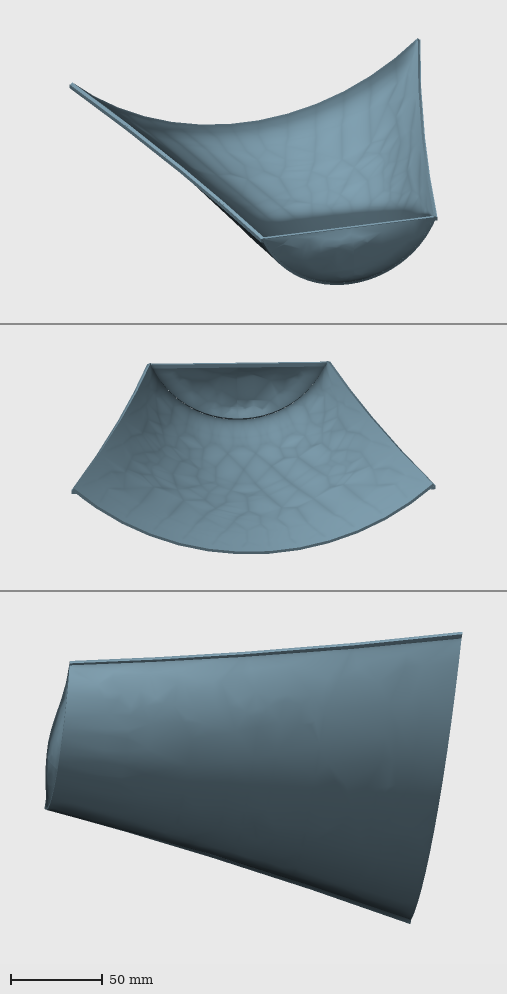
import cadquery as cq
import math

SKIN_THICKNESS = 1.5
WALL_THICKNESS = 1.5

RAIL_WIDTH = 0.5
RAIL_HEIGHT = 2.2

END_RAIL_WIDTH = 1.7

WIDE_FRONT = cq.Vector(0.0, 0.0)
WIDE_BACK = cq.Vector(45.7, 194.6)
NARROW_FRONT = cq.Vector(215.3, 0.0)
NARROW_BACK = cq.Vector(238.72, 97.6)

RIM_BOW = 2.7

SECTION_DEPTHS = [(0.0, 38.6), (0.36, 39.0), (0.72, 38.9), (1.0, 34.6)]

WALL_TOP_DROP = 0.3
WALL_BULGES = [
    (0.0, -6.2, 4.1),
    (0.0, -17.0, 5.4),
    (0.0, -28.0, 4.3),
    (-25.0, -10.0, 3.0),
    (25.0, -10.0, 3.0),
]

UP = cq.Vector(0, 0, 1)


class Section:
    """An upright arc section of the trough, cut radially at both lips."""

    def __init__(self, share, depth):
        front = WIDE_FRONT + (NARROW_FRONT - WIDE_FRONT) * share
        back = WIDE_BACK + (NARROW_BACK - WIDE_BACK) * share
        bow = RIM_BOW * 4 * share * (1 - share)
        self.along = (back - front).normalized()
        self.outward = self.along.cross(UP)
        self.middle = (front + back) / 2
        self.half_rim = (back - front).Length / 2 - bow
        self.half_chord = self.half_rim - RAIL_WIDTH
        self.outer_radius = (self.half_chord**2 + depth**2) / (2 * depth)
        self.inner_radius = self.outer_radius - SKIN_THICKNESS
        self.center_height = self.outer_radius - depth
        self.lip_angle = math.asin(self.half_chord / self.outer_radius)

    def place(self, sideways, height):
        """A point of the section plane, measured from the middle of the rim."""
        return self.middle + self.along * sideways + UP * height

    def arc_point(self, radius, angle):
        """A point at an angle from straight down, positive toward the back."""
        return self.place(radius * math.sin(angle), self.center_height - radius * math.cos(angle))

    def arc(self, radius, half_angle):
        angles = (-half_angle, 0, half_angle)
        return cq.Edge.makeThreePointArc(*[self.arc_point(radius, angle) for angle in angles])

    def half_angle_below_rim(self, radius, drop):
        """The angle at which an arc of this radius reaches a given drop below the rim."""
        return math.acos((self.center_height + drop) / radius)

    def skin_foot(self, side):
        """The point within the skin thickness, level with the rail undersides."""
        radius = (self.outer_radius + self.inner_radius) / 2
        return self.arc_point(radius, side * self.half_angle_below_rim(radius, RAIL_HEIGHT))

    def skin_lip(self, side):
        """The outer edge of the lip."""
        return self.place(side * self.half_chord, 0)

    def skin_wire(self):
        outer = self.arc(self.outer_radius, self.lip_angle)
        inner = self.arc(self.inner_radius, self.lip_angle)
        back_lip = cq.Edge.makeLine(outer.endPoint(), inner.endPoint())
        front_lip = cq.Edge.makeLine(inner.startPoint(), outer.startPoint())
        return cq.Wire.assembleEdges([outer, back_lip, inner, front_lip])

    def rail_wire(self, side):
        """The wedge beside one lip; its slanting side runs within the skin."""
        corners = [
            self.skin_lip(side),
            self.place(side * self.half_rim, 0),
            self.place(side * self.half_rim, -RAIL_HEIGHT),
            self.skin_foot(side),
        ]
        return cq.Wire.makePolygon(corners, close=True)


sections = [Section(share, depth) for share, depth in SECTION_DEPTHS]
narrow = sections[-1]


def make_skin():
    return cq.Solid.makeLoft([section.skin_wire() for section in sections])


def make_side_rail(side):
    wedge = cq.Solid.makeLoft([section.rail_wire(side) for section in sections])
    return wedge.cut(skin).Solids()[0]


def make_end_rail():
    """The bar just inside the end of the skin, its ends fitted against the inner surface."""
    corners = [narrow.skin_lip(-1), narrow.skin_lip(1), narrow.skin_foot(1), narrow.skin_foot(-1)]
    outline = cq.Wire.makePolygon(corners, close=True)
    bar = cq.Solid.extrudeLinear(outline, [], narrow.outward * -END_RAIL_WIDTH)
    return bar.cut(skin).Solids()[0]


def make_end_wall_halves():
    """A bulged plate closing the narrow end, fitted around the end rail and split at mid width.

    Its outer face springs from the inner edge of the skin and it thickens inward.
    """
    half_angle = narrow.half_angle_below_rim(narrow.inner_radius, WALL_TOP_DROP)
    arc = narrow.arc(narrow.inner_radius, half_angle)
    top = cq.Edge.makeLine(arc.endPoint(), arc.startPoint())
    peaks = [
        narrow.place(sideways, height) + narrow.outward * bulge
        for sideways, height, bulge in WALL_BULGES
    ]
    outer_face = cq.Face.makeNSidedSurface([arc, top], peaks)
    plate = outer_face.thicken(-WALL_THICKNESS).cut(skin, end_rail)
    size = 2 * narrow.half_rim
    back_block = cq.Solid.makeBox(size, size, size, narrow.middle - cq.Vector(size / 2, 0, size / 2))
    front_half = plate.cut(back_block).Solids()[0]
    back_half = plate.intersect(back_block).Solids()[0]
    return front_half, back_half


skin = make_skin()
front_rail = make_side_rail(-1)
back_rail = make_side_rail(1)
end_rail = make_end_rail()
front_wall, back_wall = make_end_wall_halves()
result = cq.Compound.makeCompound([skin, front_rail, back_rail, end_rail, front_wall, back_wall])